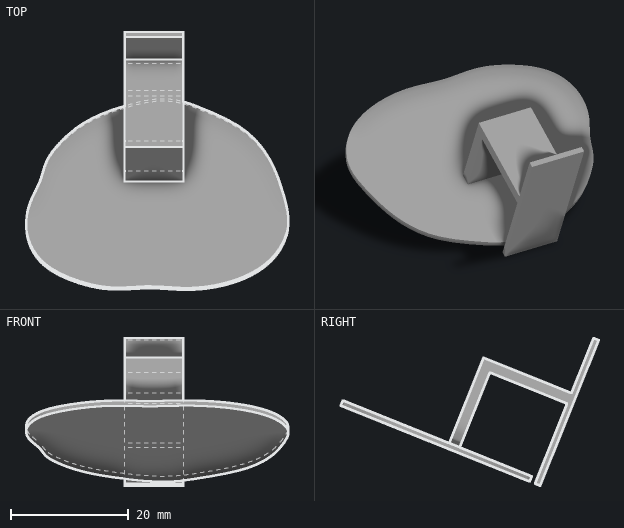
import cadquery as cq

tilt_angle = 21.9

sheet_thickness = 1.0
frame_thickness = 2 * sheet_thickness

strap_width = 10.0
strap_center_x = -0.6

back_height = 26.7
frame_height = 16.6
frame_reach = 17.05

rim_points = [
    (21.92, 26.7),
    (18.25, 32.25),
    (12.0, 35.5),
    (4.45, 36.55),
    (-1.8, 36.23),
    (-6.9, 36.5),
    (-14.25, 34.95),
    (-20.25, 30.92),
    (-22.25, 25.85),
    (-21.52, 20.65),
    (-20.0, 17.15),
    (-18.85, 13.4),
    (-16.95, 10.43),
    (-13.45, 7.05),
    (-5.15, 3.07),
    (2.0, 1.95),
    (8.6, 4.1),
    (15.3, 8.05),
    (19.05, 12.95),
    (21.52, 19.6),
]


def strap_panel(reach_start, reach_end, z_start, z_end):
    """Box across the strap width between two reaches and two heights."""
    return cq.Workplane("XY").box(
        strap_width,
        reach_end - reach_start,
        z_end - z_start,
    ).translate((
        strap_center_x,
        -(reach_start + reach_end) / 2,
        (z_start + z_end) / 2,
    ))


def rim_plate():
    """Flat plate with a smooth free-form rim."""
    rim = [(x, -reach) for x, reach in rim_points]
    return cq.Workplane("XY").spline(rim, periodic=True).close().extrude(sheet_thickness)


def chair_frame():
    """Back panel, seat and front leg, all as wide as the strap."""
    back = strap_panel(0, sheet_thickness, 0, back_height)
    seat = strap_panel(0, frame_reach, frame_height - frame_thickness, frame_height)
    leg = strap_panel(frame_reach - frame_thickness, frame_reach, 0, frame_height)
    return back.union(seat).union(leg)


upright = chair_frame().union(rim_plate())

result = upright.rotate((0, 0, 0), (1, 0, 0), -tilt_angle)